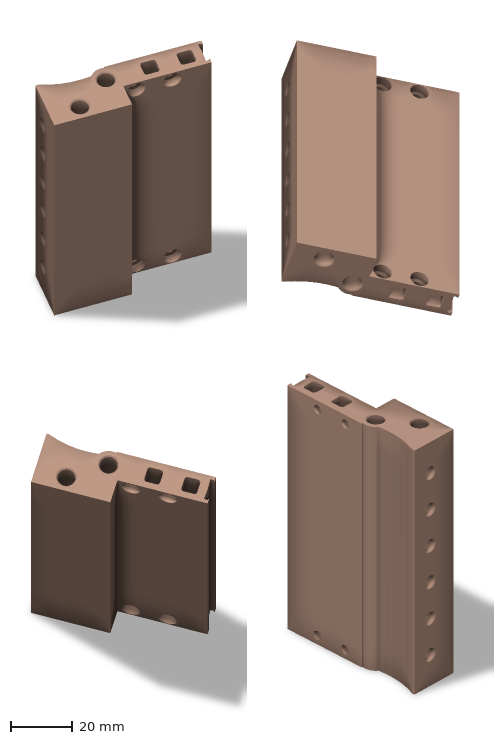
import cadquery as cq
import math

LENGTH = 94.0
BASE_THICKNESS = 18.3
WIDTH = 57.4
BASE_WIDTH = 26.9
WEB_THICKNESS = 10.0

CHANNEL_WIDTH = 7.5
CHANNEL_DEPTH = 1.6
CHANNEL_CROWN = 0.2
LIP_OVERHANG = 0.4
LIP_HEIGHT = 0.3

PASSAGE_SIZE = 5.4
PASSAGE_CORNER_RADIUS = 1.0
PASSAGE_X = 5.2
PASSAGE_YS = (37.8, 50.4)

BORE_DIAMETER = 5.9
BORE_CHAMFER = 0.5
WEB_BORE = (5.3, 22.6)
BASE_BORE = (13.4, 10.6)

WALL_RADIUS = 5.0
WALL_STEP_Y = 23.8
HOLLOW_TOP_Y = 18.5
HOLLOW_DEEPEST = (2.6, 15.0)
HOLLOW_BOTTOM_Y = 0.9

PORT_DIAMETER = 4.1
PORT_CHAMFER = 0.42
PORT_DEPTH = 14.1
PORT_X = 7.3
PORT_COUNT = 6
PORT_PITCH = 14.0

MOUNT_DIAMETER = 3.3
MOUNT_YS = (31.4, 43.9)
MOUNT_END_DISTANCE = 3.5
HEAD_DIAMETER = 6.2
HEAD_DEPTH = 3.1


def wall_point(y):
    """Point at height y on the -X side of the rounded wall around the web bore."""
    bore_x, bore_y = WEB_BORE
    return bore_x - math.sqrt(WALL_RADIUS**2 - (y - bore_y) ** 2), y


def make_body():
    return (
        cq.Workplane("XY")
        .moveTo(0, 0)
        .lineTo(BASE_THICKNESS, 0)
        .lineTo(BASE_THICKNESS, BASE_WIDTH)
        .lineTo(WEB_THICKNESS, BASE_WIDTH)
        .lineTo(WEB_THICKNESS, WIDTH)
        .lineTo(0, WIDTH)
        .lineTo(0, WALL_STEP_Y)
        .lineTo(*wall_point(WALL_STEP_Y))
        .threePointArc(wall_point((WALL_STEP_Y + HOLLOW_TOP_Y) / 2), wall_point(HOLLOW_TOP_Y))
        .threePointArc(HOLLOW_DEEPEST, (0, HOLLOW_BOTTOM_Y))
        .close()
        .extrude(LENGTH)
    )


def make_channel():
    center_x = WEB_THICKNESS / 2
    half_width = CHANNEL_WIDTH / 2
    half_mouth = half_width - LIP_OVERHANG
    floor_y = WIDTH - CHANNEL_DEPTH
    lip_y = WIDTH - LIP_HEIGHT
    return (
        cq.Workplane("XY")
        .moveTo(center_x - half_width, floor_y)
        .threePointArc((center_x, floor_y + CHANNEL_CROWN), (center_x + half_width, floor_y))
        .lineTo(center_x + half_width, lip_y)
        .lineTo(center_x + half_mouth, lip_y)
        .lineTo(center_x + half_mouth, WIDTH)
        .lineTo(center_x - half_mouth, WIDTH)
        .lineTo(center_x - half_mouth, lip_y)
        .lineTo(center_x - half_width, lip_y)
        .close()
        .extrude(LENGTH)
    )


def make_passages():
    return (
        cq.Workplane("XY")
        .pushPoints([(PASSAGE_X, y) for y in PASSAGE_YS])
        .rect(PASSAGE_SIZE, PASSAGE_SIZE)
        .extrude(LENGTH)
        .edges("|Z")
        .fillet(PASSAGE_CORNER_RADIUS)
    )


def make_bore(x, y):
    """Through bore, chamfered outward at both ends."""
    radius = BORE_DIAMETER / 2
    mouth_radius = radius + BORE_CHAMFER
    half_section = [
        (0, 0),
        (mouth_radius, 0),
        (radius, BORE_CHAMFER),
        (radius, LENGTH - BORE_CHAMFER),
        (mouth_radius, LENGTH),
        (0, LENGTH),
    ]
    bore = cq.Workplane("XZ").polyline(half_section).close().revolve(360, (0, 0), (0, 1))
    return bore.translate((x, y, 0))


def make_port(z):
    """Blind port entering from the -Y face, chamfered at its mouth."""
    radius = PORT_DIAMETER / 2
    half_section = [
        (0, 0),
        (radius + PORT_CHAMFER, 0),
        (radius, PORT_CHAMFER),
        (radius, PORT_DEPTH),
        (0, PORT_DEPTH),
    ]
    port = cq.Workplane("XY").polyline(half_section).close().revolve(360, (0, 0), (0, 1))
    return port.translate((PORT_X, 0, z))


def make_mount_holes():
    mount_zs = (MOUNT_END_DISTANCE, LENGTH - MOUNT_END_DISTANCE)
    centers = cq.Workplane("YZ").pushPoints([(y, z) for y in MOUNT_YS for z in mount_zs])
    shanks = centers.circle(MOUNT_DIAMETER / 2).extrude(WEB_THICKNESS)
    heads = centers.circle(HEAD_DIAMETER / 2).extrude(HEAD_DEPTH)
    return shanks.union(heads.translate((WEB_THICKNESS - HEAD_DEPTH, 0, 0)))


result = make_body().cut(make_channel()).cut(make_passages()).cut(make_mount_holes())

for bore_center in (WEB_BORE, BASE_BORE):
    result = result.cut(make_bore(*bore_center))

first_port_z = LENGTH / 2 - PORT_PITCH * (PORT_COUNT - 1) / 2
for index in range(PORT_COUNT):
    result = result.cut(make_port(first_port_z + index * PORT_PITCH))